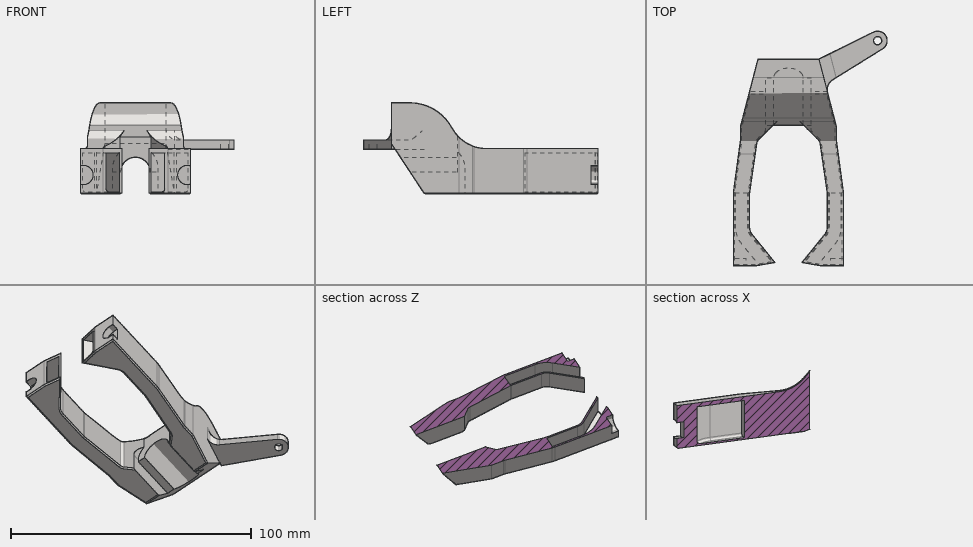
import cadquery as cq
import math


body_height = 38.0
body_back = 85.9
back_half_width = 12.7
shoulder_half_width = 20.0
shoulder_y = 57.7
hump_start_y = 78.3
hump_radius = 20.0
slope_angle = math.radians(58)
rear_slope_y = 72.1
rear_slope_top = 21.1
base_chamfer = 0.6

arm_height = 19.0
arm_half_width = 22.9
arm_thickness = 6.8
arm_root_thickness = 7.0
arm_root_y = 51.9
arm_bend_y = 30.3
bend_radius = 4.2
root_inner_radius = 2.3
ramp_radius = 16.0

tip_x = 5.6
tip_y = 1.4
tip_slant_x = 13.5
tip_turn_y = 14.3
tip_turn_radius = 4.9

wall_y = 58.3
wall_half_width = 6.4

channel_wall = 0.9
channel_width = 5.0
channel_floor = 1.0
channel_top = 17.1
channel_edge_radius = 1.2

notch_radius = 4.0
notch_x = 21.5
notch_z = 8.0
notch_depth = 3.0

vault_axis_z = 9.2
vault_radius = 6.1
recess_axis_z = 10.6
recess_radius = 9.5

tab_bottom = 18.6
tab_thickness = 4.0
tab_hole_x = 37.05
tab_hole_y = 93.5
tab_end_radius = 4.0
tab_hole_radius = 1.7
tab_lower_angle = math.radians(31.8)
tab_corner_radius = 4.9
tab_fillet_radius = 5.0

arm_inner_x = arm_half_width - arm_thickness
root_inner_x = shoulder_half_width - arm_root_thickness
root_inner_y = wall_y - (root_inner_x - wall_half_width)


def prism(corners, height):
    """Upright prism over (x, y, radius) corners; a radius of zero leaves the corner sharp."""
    legs = []
    for i, (x, y, radius) in enumerate(corners):
        before = corners[i - 1]
        after = corners[(i + 1) % len(corners)]
        corner = cq.Vector(x, y)
        to_before = (cq.Vector(before[0], before[1]) - corner).normalized()
        to_after = (cq.Vector(after[0], after[1]) - corner).normalized()
        half_angle = to_before.getAngle(to_after) / 2
        setback = radius / math.tan(half_angle)
        bisector = (to_before + to_after).normalized()
        middle = corner + bisector * (radius / math.sin(half_angle) - radius)
        legs.append((corner + to_before * setback, middle, corner + to_after * setback, radius))
    path = cq.Workplane("XY").moveTo(*legs[0][2].toTuple()[:2])
    for start, middle, end, radius in legs[1:] + legs[:1]:
        path = path.lineTo(start.x, start.y)
        if radius > 0:
            path = path.threePointArc((middle.x, middle.y), (end.x, end.y))
    return path.close().extrude(height)


def mirrored(half):
    return half.union(half.mirror("YZ"))


def plan_half(inner_wall_y, inner_wall_half_width):
    """Right half of the plan: body and arm, with the given end wall between the arms."""
    corners = [
        (0, body_back, 0),
        (back_half_width, body_back, 0),
        (shoulder_half_width, shoulder_y, 0),
        (shoulder_half_width, arm_root_y, bend_radius),
        (arm_half_width, arm_bend_y, bend_radius + arm_thickness),
        (arm_half_width, 0, 0),
        (tip_slant_x, 0, 0),
        (tip_x, tip_y, 0),
        (arm_inner_x, tip_turn_y, tip_turn_radius),
        (arm_inner_x, arm_bend_y, bend_radius),
        (root_inner_x, root_inner_y, root_inner_radius),
        (inner_wall_half_width, inner_wall_y, 0),
        (0, inner_wall_y, 0),
    ]
    return prism(corners, body_height)


def across(profile):
    """Extrude a YZ profile over the full width of the arms."""
    return profile.extrude(arm_half_width, both=True)


hump_end_y = hump_start_y - hump_radius * math.sin(slope_angle)
hump_end_z = body_height - hump_radius * (1 - math.cos(slope_angle))
slope_foot_y = hump_end_y - (hump_end_z - arm_height) / math.tan(slope_angle)
ramp_reach = ramp_radius * math.tan(slope_angle / 2)
ramp_start_y = slope_foot_y - ramp_reach
ramp_end_y = slope_foot_y + ramp_reach * math.cos(slope_angle)
ramp_end_z = arm_height + ramp_reach * math.sin(slope_angle)


def hump_and_arms():
    profile = (
        cq.Workplane("YZ")
        .moveTo(0, 0)
        .lineTo(rear_slope_y, 0)
        .lineTo(body_back, rear_slope_top)
        .lineTo(body_back, body_height)
        .lineTo(hump_start_y, body_height)
        .threePointArc(
            (
                hump_start_y - hump_radius * math.sin(slope_angle / 2),
                body_height - hump_radius * (1 - math.cos(slope_angle / 2)),
            ),
            (hump_end_y, hump_end_z),
        )
        .lineTo(slope_foot_y, arm_height)
        .lineTo(0, arm_height)
        .close()
    )
    plan = mirrored(plan_half(wall_y, wall_half_width))
    return plan.intersect(across(profile)).faces("<Z").chamfer(base_chamfer)


def arm_ramps():
    """Concave ramps from the arm tops up to the slope, kept outside the space between the arms."""
    profile = (
        cq.Workplane("YZ")
        .moveTo(ramp_start_y, arm_height)
        .threePointArc(
            (
                ramp_start_y + ramp_radius * math.sin(slope_angle / 2),
                arm_height + ramp_radius * (1 - math.cos(slope_angle / 2)),
            ),
            (ramp_end_y, ramp_end_z),
        )
        .lineTo(ramp_end_y, arm_height)
        .lineTo(ramp_start_y, arm_height)
        .close()
    )
    inner_end_half_width = wall_half_width - (ramp_end_y - wall_y)
    plan = mirrored(plan_half(ramp_end_y, inner_end_half_width))
    return plan.intersect(across(profile))


def air_channel():
    """Channel that follows the inner side of the right arm and opens in the slanted tip face."""
    run_x = arm_inner_x - tip_x
    run_y = tip_turn_y - tip_y
    turn = math.atan2(run_x, run_y)

    def wall_points(offset):
        """Front end and bend of the channel wall lying this far from the arm's inner face."""
        turn_x = arm_inner_x + offset
        turn_y = tip_turn_y - offset * math.tan(turn / 2)
        front_y = -tip_y
        front_x = turn_x - (turn_y - front_y) * math.tan(turn)
        return (front_x, front_y, 0), (turn_x, turn_y, tip_turn_radius + offset)

    inner_front, inner_turn = wall_points(channel_wall)
    outer_front, outer_turn = wall_points(channel_wall + channel_width)
    corners = [
        inner_front,
        outer_front,
        outer_turn,
        (outer_turn[0], arm_bend_y, 0),
        (inner_turn[0], arm_bend_y, 0),
        inner_turn,
    ]
    channel = prism(corners, channel_top - channel_floor).translate((0, 0, channel_floor))
    outer_edge_middle = (outer_turn[0], (arm_bend_y + outer_turn[1]) / 2, channel_floor)
    outer_floor_edge = cq.selectors.NearestToPointSelector(outer_edge_middle)
    return channel.edges(outer_floor_edge).fillet(channel_edge_radius)


def along_y(profile, start_y, end_y):
    """Extrude a profile drawn in X and Z from start_y to end_y."""
    return profile.extrude(start_y - end_y).translate((0, start_y, 0))


def corner_notch():
    return along_y(cq.Workplane("XZ").center(notch_x, notch_z).circle(notch_radius), 0, notch_depth)


def passage():
    """Slot along the base with a narrower round vault over it, and a wide vault up to the end wall."""
    def slot(top, end_y):
        profile = cq.Workplane("XZ").center(0, top / 2).rect(2 * recess_radius, top)
        return along_y(profile, arm_bend_y, end_y)

    def vault(radius, axis_z, end_y):
        return along_y(cq.Workplane("XZ").center(0, axis_z).circle(radius), arm_bend_y, end_y)

    full_length = slot(vault_axis_z, body_back).union(vault(vault_radius, vault_axis_z, body_back))
    recess = slot(recess_axis_z, wall_y).union(vault(recess_radius, recess_axis_z, wall_y))
    return full_length.union(recess)


def mounting_tab():
    """Tab on the right side of the body, with a fillet along its top where it meets the body."""
    side_run = (shoulder_half_width - back_half_width) / (body_back - shoulder_y)
    hole_dx = tab_hole_x - back_half_width
    hole_dy = tab_hole_y - body_back
    upper_angle = math.atan2(hole_dy, hole_dx) + math.asin(tab_end_radius / math.hypot(hole_dx, hole_dy))

    upper_tangent_x = tab_hole_x - tab_end_radius * math.sin(upper_angle)
    upper_tangent_y = tab_hole_y + tab_end_radius * math.cos(upper_angle)
    lower_tangent_x = tab_hole_x + tab_end_radius * math.sin(tab_lower_angle)
    lower_tangent_y = tab_hole_y - tab_end_radius * math.cos(tab_lower_angle)

    lower_slope = math.tan(tab_lower_angle)
    side_x_at_tangent = back_half_width + (body_back - lower_tangent_y) * side_run
    root_x = lower_tangent_x - (lower_tangent_x - side_x_at_tangent) / (1 + lower_slope * side_run)
    root_y = lower_tangent_y - (lower_tangent_x - root_x) * lower_slope

    tab_corners = [
        (0, shoulder_y, 0),
        (shoulder_half_width, shoulder_y, 0),
        (root_x, root_y, tab_corner_radius),
        (lower_tangent_x, lower_tangent_y, 0),
        (upper_tangent_x, upper_tangent_y, 0),
        (back_half_width, body_back, 0),
    ]
    plate = prism(tab_corners, tab_thickness)
    end = cq.Workplane("XY").center(tab_hole_x, tab_hole_y).circle(tab_end_radius).extrude(tab_thickness)
    hole = cq.Workplane("XY").center(tab_hole_x, tab_hole_y).circle(tab_hole_radius).extrude(tab_thickness)

    fillet_plane = cq.Plane(
        origin=(back_half_width, body_back, tab_thickness),
        xDir=(1, side_run, 0),
        normal=(side_run, -1, 0),
    )
    arc_middle = tab_fillet_radius * (1 - math.sqrt(0.5))
    fillet = (
        cq.Workplane(fillet_plane)
        .lineTo(tab_fillet_radius, 0)
        .threePointArc((arc_middle, arc_middle), (0, tab_fillet_radius))
        .close()
        .extrude(body_back - shoulder_y, both=True)
        .intersect(prism(tab_corners, body_height))
    )
    footprint_corners = [
        (0, shoulder_y, 0),
        (shoulder_half_width, shoulder_y, 0),
        (back_half_width, body_back, 0),
        (0, body_back, 0),
    ]
    body_footprint = prism(footprint_corners, body_height)
    tab = plate.union(end).cut(hole).union(fillet).cut(body_footprint)
    return tab.translate((0, 0, tab_bottom))


arm_cuts = mirrored(air_channel().union(corner_notch()))
result = hump_and_arms().union(arm_ramps()).cut(passage()).cut(arm_cuts).union(mounting_tab())